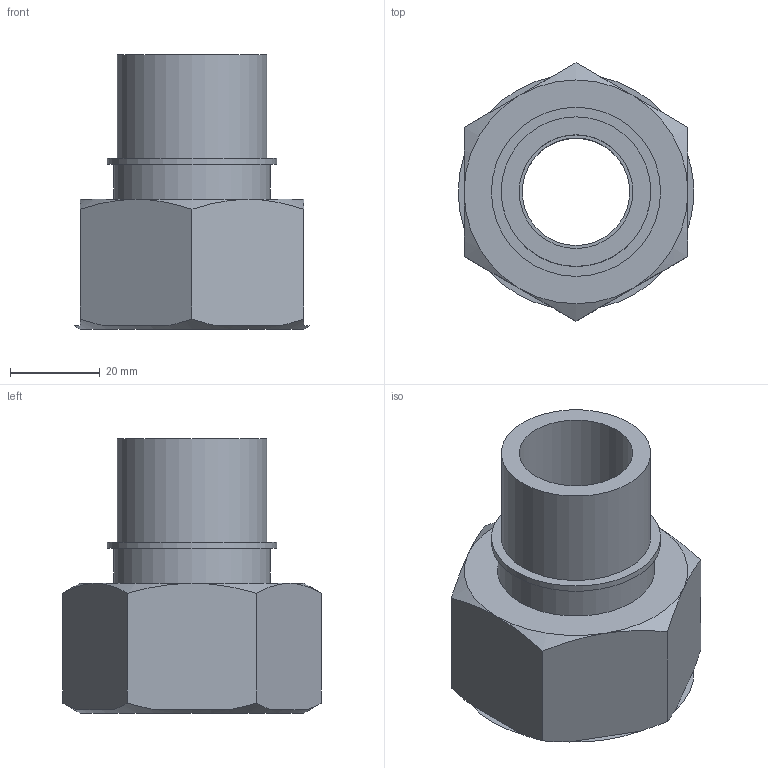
import cadquery as cq
import math

total_height = 61.25
across_flats = 50.0
half_hexagon_angle = 30.0
across_corners = across_flats / math.cos(math.radians(half_hexagon_angle))
nut_height = 29.0
chamfer_angle = 30.0
chamfer_slope = math.tan(math.radians(chamfer_angle))
corner_drop = (across_corners - across_flats) / 2 * chamfer_slope

lip_diameter = 52.6
lip_height = (lip_diameter - across_flats) / 2 * chamfer_slope

neck_diameter = 35.0
collar_diameter = 37.8
collar_bottom = 36.8
collar_thickness = 1.4
collar_top = collar_bottom + collar_thickness
pipe_diameter = 33.4

pipe_bore_diameter = 25.4
through_bore_diameter = 24.0


def cylinder(diameter, bottom, top):
    """Upright cylinder on the Z axis between two heights."""
    return cq.Workplane("XY").workplane(offset=bottom).circle(diameter / 2).extrude(top - bottom)


def turned_envelope():
    """Solid of revolution with a matching cone at each end of the nut."""
    flat_radius = across_flats / 2
    corner_radius = across_corners / 2
    return (
        cq.Workplane("XZ")
        .moveTo(0, 0)
        .lineTo(flat_radius, 0)
        .lineTo(corner_radius, corner_drop)
        .lineTo(corner_radius, nut_height - corner_drop)
        .lineTo(flat_radius, nut_height)
        .lineTo(0, nut_height)
        .close()
        .revolve(360, (0, 0, 0), (0, 1, 0))
    )


def nut():
    """Hexagon with corners on the Y axis and a bottom disc, both turned to the envelope.

    The lower cone trims the disc to the lip diameter at its top edge.
    """
    hexagon = (
        cq.Workplane("XY")
        .polygon(6, across_corners)
        .extrude(nut_height)
        .rotate((0, 0, 0), (0, 0, 1), half_hexagon_angle)
    )
    lip_blank = cylinder(across_corners, 0, lip_height)
    return hexagon.union(lip_blank).intersect(turned_envelope())


def tail():
    """Neck, collar and pipe end rising out of the nut."""
    neck = cylinder(neck_diameter, 0, collar_bottom)
    collar = cylinder(collar_diameter, collar_bottom, collar_top)
    pipe = cylinder(pipe_diameter, collar_top, total_height)
    return neck.union(collar).union(pipe)


def stepped_bore():
    """Through bore widened along the pipe end."""
    through_bore = cylinder(through_bore_diameter, 0, total_height)
    pipe_bore = cylinder(pipe_bore_diameter, collar_top, total_height)
    return through_bore.union(pipe_bore)


result = nut().union(tail()).cut(stepped_bore())